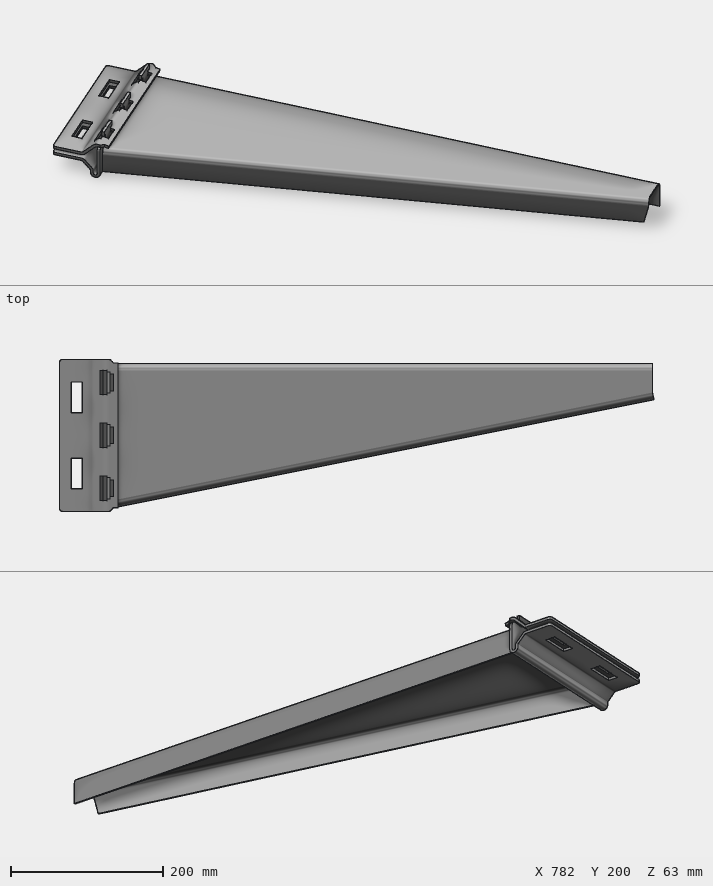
import cadquery as cq
import math

total_length = 782.0
plate_width = 200.0
plate_thickness = 4.0
flat_gap = 5.5
lowest_z = -29.0
total_height = 63.0

flat_length = 40.0
bend_radius = 4.0
leg_bend_radius = 1.5
slope_angle = 45.0
corner_radius = 4.0

upper_slope_length = 19.5
lower_slope_length = 14.0
crest_radius = 6.0
lip_fall_angle = 12.0
lip_length = 12.0
lip_shoulder_x = 66.5

clamp_slot_width = 14.0
clamp_slot_length = 40.0
clamp_slot_x = 23.0
hole_pitch = 100.0

upright_top_z = 19.5
upright_corner_radius = 6.0
upright_hole_radius = 10.0

tab_pitch = 70.0
tab_count = 3
tab_neck_width = 18.0
tab_head_width = 28.0
tab_head_height = 7.0
key_wide_width = 32.0
key_narrow_width = 22.0
key_start_x = 53.0
key_end_x = 71.0

arm_base_width = 191.0
arm_back_y = 95.0
arm_taper = 0.2
arm_top_z = 15.0
arm_height = 39.0
arm_sheet = 1.95
arm_bend_radius = 9.0
tapered_wall_raise = 4.0
tip_setback = 6.0

half_sheet = plate_thickness / 2
flat_mid_z = (flat_gap + plate_thickness) / 2
bend_mid_radius = bend_radius + half_sheet
leg_bend_mid_radius = leg_bend_radius + half_sheet
crest_mid_radius = crest_radius + half_sheet
slope_sin = math.sin(math.radians(slope_angle))
slope_cos = math.cos(math.radians(slope_angle))

u_mid_radius = flat_mid_z
u_center_z = lowest_z + u_mid_radius + half_sheet
upright_length = upright_top_z - u_center_z
slope_start_x = flat_length + bend_mid_radius * slope_sin
slope_start_drop = bend_mid_radius * (1 - slope_cos)
outer_leg_x = slope_start_x + lower_slope_length * slope_cos + leg_bend_mid_radius * (1 - slope_sin)
slope_end_z = -flat_mid_z - slope_start_drop - lower_slope_length * slope_sin
outer_leg_top_z = slope_end_z - leg_bend_mid_radius * slope_cos
outer_leg_length = outer_leg_top_z - u_center_z
upright_mid_x = outer_leg_x + 2 * u_mid_radius
upright_front_x = upright_mid_x - half_sheet
arm_start_x = upright_mid_x + half_sheet

tab_top_z = lowest_z + total_height
tab_head_bottom_z = tab_top_z - tab_head_height
tab_positions = [(i - (tab_count - 1) / 2) * tab_pitch for i in range(tab_count)]
hole_positions = [-hole_pitch / 2, hole_pitch / 2]

cut_depth = 2 * total_height


def bent_sheet(start_x, start_z, bends):
    """Sheet of the plate thickness that starts along +X and follows `bends`, centred on Y = 0.

    Each bend is (straight length before it, turn in degrees, middle radius);
    a turn of zero is a plain straight. Positive turns go up from +X towards +Z.
    """
    def beside(x, z, heading, side):
        """Point on one face of the sheet, square to the centre line."""
        return (x - side * half_sheet * math.sin(heading), z + side * half_sheet * math.cos(heading))

    x, z, heading = start_x, start_z, 0.0
    stations = [(x, z, heading)]
    turned = []
    for straight, turn, radius in bends:
        x += straight * math.cos(heading)
        z += straight * math.sin(heading)
        stations.append((x, z, heading))
        turned.append(None)
        if turn == 0:
            continue
        signed_radius = math.copysign(radius, turn)
        center_x = x - signed_radius * math.sin(heading)
        center_z = z + signed_radius * math.cos(heading)
        arc = []
        for share in (0.5, 1.0):
            angle = heading + share * math.radians(turn)
            arc_x = center_x + signed_radius * math.sin(angle)
            arc_z = center_z - signed_radius * math.cos(angle)
            arc.append((arc_x, arc_z, angle))
        middle, end = arc
        turned.append(middle)
        stations.append(end)
        x, z, heading = end

    def trace(profile, targets, middles, side):
        """Run along one face of the sheet, through each target in turn."""
        for target, middle in zip(targets, middles):
            if middle is None:
                profile = profile.lineTo(*beside(*target, side))
            else:
                profile = profile.threePointArc(beside(*middle, side), beside(*target, side))
        return profile

    profile = cq.Workplane("XZ").moveTo(*beside(*stations[0], 1))
    profile = trace(profile, stations[1:], turned, 1)
    profile = profile.lineTo(*beside(*stations[-1], -1))
    profile = trace(profile, stations[-2::-1], turned[::-1], -1)
    return profile.close().extrude(plate_width / 2, both=True)


def box_between(x_min, x_max, y_center, width, z_min, z_max):
    """Box from its X range, its Y centre and width, and its Z range."""
    return (
        cq.Workplane("XY", origin=(x_min, y_center, z_min))
        .box(x_max - x_min, width, z_max - z_min, centered=(False, True, False))
    )


def finish_clamp_flat(plate):
    """Round the free corners of a clamp flat and cut its two bolt slots."""
    plate = plate.edges("|Z and <X").fillet(corner_radius)
    slots = (
        cq.Workplane("XY")
        .pushPoints([(clamp_slot_x, y) for y in hole_positions])
        .rect(clamp_slot_width, clamp_slot_length)
        .extrude(cut_depth / 2, both=True)
    )
    return plate.cut(slots)


def make_upper_plate():
    plate = bent_sheet(0, flat_mid_z, [
        (flat_length, slope_angle, bend_mid_radius),
        (upper_slope_length, -slope_angle - lip_fall_angle, crest_mid_radius),
        (lip_length, 0, 0),
    ])
    plate = finish_clamp_flat(plate)

    shoulder = (plate_width - arm_base_width) / 2
    half_width = plate_width / 2
    for side in (1, -1):
        trim = (
            cq.Workplane("XY")
            .moveTo(lip_shoulder_x, side * half_width)
            .lineTo(lip_shoulder_x + shoulder, side * (half_width - shoulder))
            .lineTo(total_length, side * (half_width - shoulder))
            .lineTo(total_length, side * half_width)
            .close()
            .extrude(cut_depth)
        )
        plate = plate.cut(trim)

    for y in tab_positions:
        plate = plate.cut(box_between(key_start_x, upright_front_x, y, key_wide_width, 0, cut_depth))
        plate = plate.cut(box_between(upright_front_x, key_end_x, y, key_narrow_width, 0, cut_depth))
    return plate


def make_lower_plate():
    plate = bent_sheet(0, -flat_mid_z, [
        (flat_length, -slope_angle, bend_mid_radius),
        (lower_slope_length, slope_angle - 90, leg_bend_mid_radius),
        (outer_leg_length, 180, u_mid_radius),
        (upright_length, 0, 0),
    ])
    plate = finish_clamp_flat(plate)
    plate = plate.edges("|X and >Z").edges("<Y or >Y").fillet(upright_corner_radius)

    holes = (
        cq.Workplane("YZ", origin=(upright_front_x, 0, 0))
        .pushPoints([(y, arm_top_z - arm_height / 2) for y in hole_positions])
        .circle(upright_hole_radius)
        .extrude(plate_thickness)
    )
    plate = plate.cut(holes)

    for y in tab_positions:
        neck = box_between(upright_front_x, arm_start_x, y, tab_neck_width, upright_top_z, tab_head_bottom_z)
        head = box_between(upright_front_x, arm_start_x, y, tab_head_width, tab_head_bottom_z, tab_top_z)
        plate = plate.union(neck).union(head)
    return plate


def make_arm():
    taper_angle = math.atan(arm_taper)
    bottom_z = arm_top_z - arm_height
    end_shift = arm_bend_radius * math.sin(taper_angle)
    flat_end_x = total_length - end_shift

    def taper_y(x, inset):
        """Y of the line parallel to the tapered edge and `inset` inside it."""
        base_y = arm_back_y - arm_base_width
        return base_y + (x - arm_start_x) * arm_taper + inset / math.cos(taper_angle)

    outline = [
        (arm_start_x, arm_back_y),
        (arm_start_x, taper_y(arm_start_x, arm_bend_radius)),
        (arm_start_x + end_shift, taper_y(arm_start_x + end_shift, 0)),
        (total_length, taper_y(total_length, 0)),
        (flat_end_x, taper_y(flat_end_x, arm_bend_radius)),
        (flat_end_x, arm_back_y),
    ]
    shell = cq.Workplane("XY", origin=(0, 0, bottom_z)).polyline(outline).close().extrude(arm_height)

    def blank(inset, x_min, x_max):
        """Trapezoidal bar with rounded upper long edges, `inset` inside the arm's outer faces."""
        corners = [
            (x_min, arm_back_y - inset),
            (x_min, taper_y(x_min, inset)),
            (x_max, taper_y(x_max, inset)),
            (x_max, arm_back_y - inset),
        ]
        base = cq.Workplane("XY", origin=(0, 0, bottom_z)).polyline(corners).close()
        bar = base.extrude(arm_height - inset)
        return bar.faces(">Z").edges("not |Y").fillet(arm_bend_radius - inset)

    shell = shell.intersect(blank(0, 0, total_length + arm_bend_radius))
    shell = shell.cut(blank(arm_sheet, 0, total_length + arm_bend_radius))

    wall_bottom_z = bottom_z + tapered_wall_raise
    wall_trim = (
        cq.Workplane("XZ", origin=(0, arm_back_y - arm_bend_radius, 0))
        .moveTo(0, bottom_z)
        .lineTo(0, wall_bottom_z)
        .lineTo(total_length - tip_setback, wall_bottom_z)
        .lineTo(total_length, arm_top_z - arm_bend_radius)
        .lineTo(total_length, bottom_z)
        .close()
        .extrude(arm_base_width)
    )
    return shell.cut(wall_trim)


upper_plate = make_upper_plate()
lower_plate = make_lower_plate()
arm = make_arm()

result = cq.Compound.makeCompound([upper_plate.val(), lower_plate.val(), arm.val()])